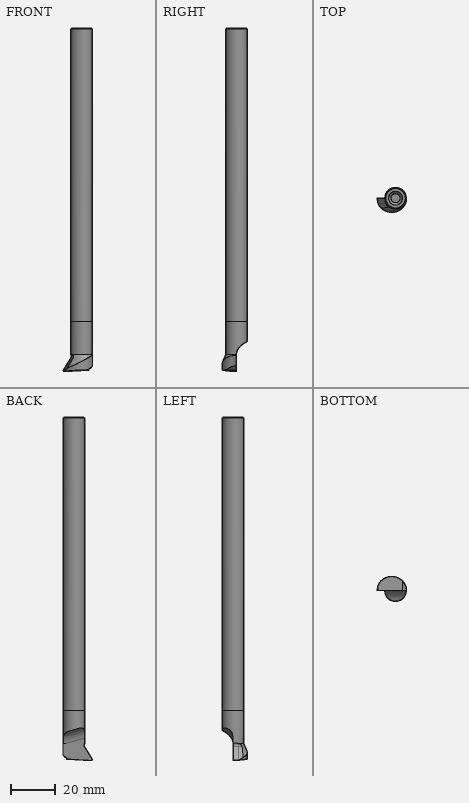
import cadquery as cq
import math

total_length = 153.6
shaft_diameter = 9.7
shaft_radius = shaft_diameter / 2

joint_height = 22.5
rear_chamfer = 0.5
bore_diameter = 4.0
countersink_diameter = 6.1
countersink_depth = 1.5

neck_height = 7.7
flare_radius = 8.1
flare_offset_x = -0.54
foot_radius = 6.8
foot_center_x = -1.7
foot_center_y = 0.38
foot_right = 4.9

runout_radius = 4.9
runout_height = 8.8
runout_tilt = 16.0

flank_angle = 31.0
flank_fillet_radius = 1.4
flank_fillet_height = 6.3
flank_depth = 2.5
flank_relief = 0.22
heel_relief = 0.35

tip_x = -8.3
tip_height = 0.5
nose_x = -7.8
end_edge_rise = 0.6
end_relief = 0.06
corner_chamfer = 1.8

reach = 30.7


def relieved_prism(profile, relief, relief_axis):
    """Profile in an XZ plane, extruded toward -Y and shifted along X or Z by `relief` per unit."""
    shift = relief * reach
    if relief_axis == "X":
        direction = cq.Vector(shift, -reach, 0)
    else:
        direction = cq.Vector(0, -reach, shift)
    return cq.Workplane(cq.Solid.extrudeLinear(profile.val(), [], direction))


def make_shaft():
    """Tube from the joint to the rear end, with a countersunk bore."""
    shaft = (
        cq.Workplane("XY", origin=(0, 0, joint_height))
        .circle(shaft_radius)
        .extrude(total_length - joint_height)
        .faces(">Z")
        .edges()
        .chamfer(rear_chamfer)
    )
    bore_radius = bore_diameter / 2
    bore = (
        cq.Workplane("XZ")
        .moveTo(0, joint_height)
        .lineTo(bore_radius, joint_height)
        .lineTo(bore_radius, total_length - countersink_depth)
        .lineTo(countersink_diameter / 2, total_length)
        .lineTo(0, total_length)
        .close()
        .revolve(360, (0, 0, 0), (0, 1, 0))
    )
    return shaft.cut(bore)


def make_neck():
    """Round part of the head between the flare and the joint."""
    neck_length = joint_height - neck_height
    return cq.Workplane("XY", origin=(0, 0, neck_height)).circle(shaft_radius).extrude(neck_length)


def make_foot():
    """Oblique flare below the neck, limited by the foot outline and the end profile."""
    flare = (
        cq.Workplane("XY")
        .center(flare_offset_x, 0)
        .circle(flare_radius)
        .workplane(offset=neck_height)
        .center(-flare_offset_x, 0)
        .circle(shaft_radius)
        .loft(ruled=True)
    )
    foot = cq.Workplane("XY").center(foot_center_x, foot_center_y).circle(foot_radius).extrude(neck_height)
    end_profile = (
        cq.Workplane("XZ")
        .moveTo(tip_x, tip_height)
        .lineTo(nose_x, 0)
        .lineTo(foot_right - corner_chamfer, end_edge_rise)
        .lineTo(foot_right, end_edge_rise + corner_chamfer)
        .lineTo(foot_right, neck_height)
        .lineTo(-reach, neck_height)
        .lineTo(-reach, tip_height)
        .close()
    )
    return flare.intersect(foot).intersect(relieved_prism(end_profile, end_relief, "Z"))


def make_chip_pocket():
    """Space above the flat, closed by the round run-out and turned about the Y axis."""
    runout_top = runout_height + runout_radius
    return (
        cq.Workplane("YZ", origin=(-reach, 0, 0))
        .moveTo(0, -reach)
        .lineTo(0, runout_height)
        .radiusArc((runout_radius, runout_top), runout_radius)
        .lineTo(reach, runout_top)
        .lineTo(reach, -reach)
        .close()
        .extrude(2 * reach)
        .rotate((0, 0, runout_height), (0, 1, runout_height), runout_tilt)
    )


def make_flank_cut(start_depth, edge_x, relief):
    """Space outside one flank facet, from the given depth below the flat downward."""
    angle = math.radians(flank_angle)
    fillet_start_x = edge_x + (flank_fillet_height - tip_height) * math.tan(angle)
    fillet_end_x = fillet_start_x - flank_fillet_radius * math.cos(angle)
    fillet_end_height = flank_fillet_height + flank_fillet_radius * (1 + math.sin(angle))
    profile = (
        cq.Workplane("XZ", origin=(0, -start_depth, 0))
        .moveTo(edge_x - tip_height * math.tan(angle), 0)
        .lineTo(fillet_start_x, flank_fillet_height)
        .tangentArcPoint((fillet_end_x, fillet_end_height), relative=False)
        .lineTo(-reach, fillet_end_height)
        .lineTo(-reach, 0)
        .close()
    )
    return relieved_prism(profile, relief, "X")


def make_head():
    """Neck and foot in one piece, with the chip pocket and both flank facets cut away."""
    heel_edge_x = tip_x + flank_relief * flank_depth
    return (
        make_neck()
        .union(make_foot())
        .cut(make_chip_pocket())
        .cut(make_flank_cut(0, tip_x, flank_relief))
        .cut(make_flank_cut(flank_depth, heel_edge_x, heel_relief))
    )


shaft = make_shaft()
head = make_head()
result = cq.Compound.makeCompound([shaft.val(), head.val()])